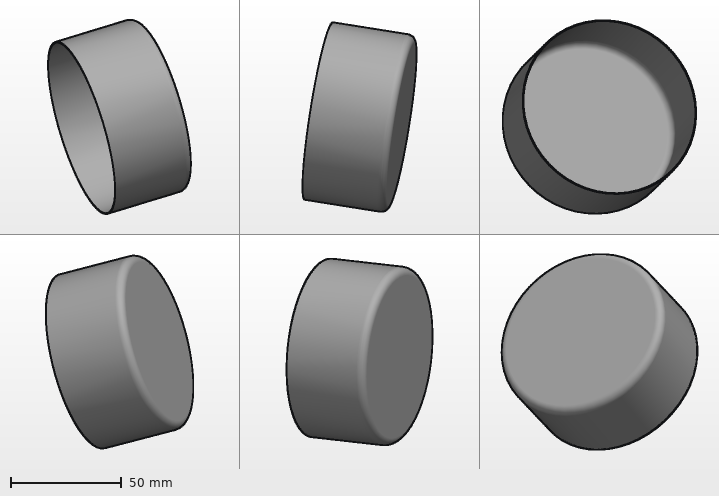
import cadquery as cq

outer_diameter = 81.25
inner_diameter = 80.3
height = 38.0
outer_corner_radius = 3.5

wall = (outer_diameter - inner_diameter) / 2
inner_corner_radius = outer_corner_radius - wall


def rounded_plug(diameter, length, corner_radius):
    """Cylinder from the open rim toward +Y, with its +Y edge rounded."""
    rim_plane = cq.Workplane("XZ")
    plug = rim_plane.circle(diameter / 2).extrude(-length)
    return plug.faces(">Y").edges().fillet(corner_radius)


body = rounded_plug(outer_diameter, height, outer_corner_radius)

cavity = rounded_plug(inner_diameter, height - wall, inner_corner_radius)

result = body.cut(cavity)